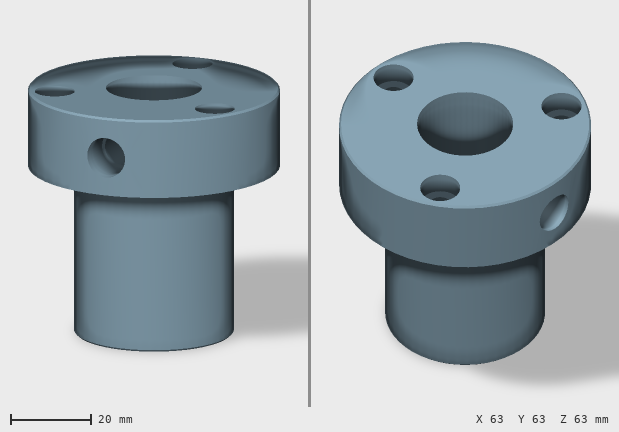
import cadquery as cq

flange_diameter = 63.0
flange_height = 20.0
barrel_diameter = 40.0
total_height = 63.0
bore_diameter = 24.0
edge_chamfer = 0.5

screw_count = 3
screw_circle_radius = 25.0
screw_first_angle = 90.0
screw_hole_diameter = 5.5
counterbore_diameter = 10.0
counterbore_depth = 5.5

port_diameter = 8.6
port_mouth_diameter = 10.2
port_mouth_depth = 10.0

flange_bottom = total_height - flange_height
port_height = flange_bottom + (flange_height - edge_chamfer) / 2


def make_body():
    """Barrel and flange with chamfered end edges."""
    barrel = (
        cq.Workplane("XY")
        .circle(barrel_diameter / 2)
        .extrude(total_height)
        .faces("<Z").edges().chamfer(edge_chamfer)
    )
    flange = (
        cq.Workplane("XY", origin=(0, 0, flange_bottom))
        .circle(flange_diameter / 2)
        .extrude(flange_height)
        .faces(">Z").edges().chamfer(edge_chamfer)
    )
    return barrel.union(flange)


def cut_bore(body):
    """Main bore through the full height."""
    return body.cut(cq.Workplane("XY").circle(bore_diameter / 2).extrude(total_height))


def cut_screw_holes(body):
    """Evenly spaced screw holes, counterbored from the top face."""
    return (
        body.faces(">Z").workplane(origin=(0, 0, total_height))
        .polarArray(screw_circle_radius, screw_first_angle, 360, screw_count)
        .cboreHole(screw_hole_diameter, counterbore_diameter, counterbore_depth, flange_height)
    )


def cut_port(body):
    """Radial port reaching the bore, stepped wider at its mouth."""
    outer_radius = flange_diameter / 2
    side = cq.Workplane("XZ", origin=(0, -outer_radius, port_height))
    drill = side.circle(port_diameter / 2).extrude(-outer_radius)
    mouth = side.circle(port_mouth_diameter / 2).extrude(-port_mouth_depth)
    return body.cut(drill).cut(mouth)


result = cut_port(cut_screw_holes(cut_bore(make_body())))